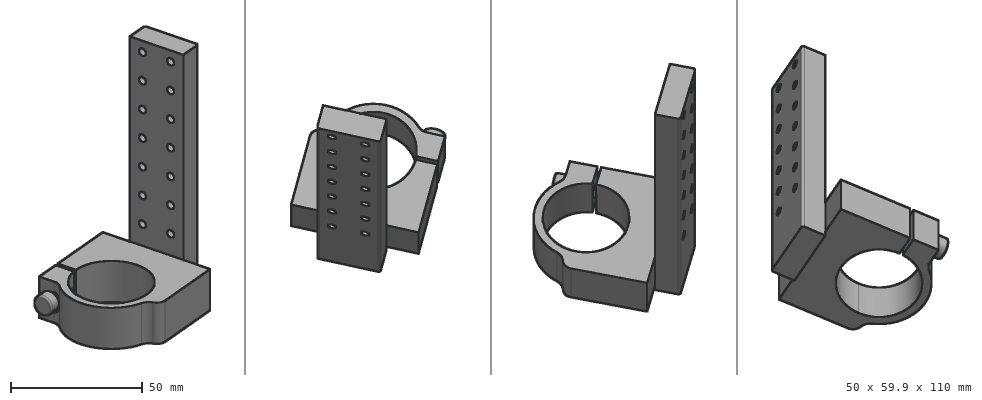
import cadquery as cq
import math


plate_width = 25.0
plate_thickness = 10.0
plate_height = 110.0
plate_edge_radius = 1.0
hole_diameter = 3.2
hole_rows = 7
hole_pitch = 12.5
hole_column_spacing = 13.1
top_hole_inset = 5.0

clamp_width = 50.0
clamp_height = 18.0
clamp_bottom = 2.3
bore_diameter = 33.0
ring_radius = 20.0
bore_y = -29.9
half_width = clamp_width / 2
gap_width = 1.4
lug_thickness = 10.9
lug_front_y = bore_y - gap_width - lug_thickness
lug_fillet = 5.0
shoulder_radius = 4.0
hollow_radius = 5.0

spotface_diameter = 9.9
head_diameter = 8.5
head_height = 5.0
head_edge_radius = 0.8
shank_diameter = 5.0
screw_inset = 5.1
screw_x = screw_inset - half_width
screw_z = clamp_bottom + clamp_height / 2


def point_between(start, end, distance):
    """Point at the given distance from start towards end."""
    ratio = distance / math.dist(start, end)
    return (start[0] + ratio * (end[0] - start[0]), start[1] + ratio * (end[1] - start[1]))


def make_plate():
    plate = (
        cq.Workplane("XY")
        .box(plate_width, plate_thickness, plate_height, centered=(True, False, False))
        .edges("|Z and >Y")
        .fillet(plate_edge_radius)
    )
    top_row_z = plate_height - top_hole_inset
    hole_points = [
        (side * hole_column_spacing / 2, top_row_z - row * hole_pitch)
        for row in range(hole_rows)
        for side in (-1, 1)
    ]
    holes = (
        cq.Workplane("XZ", origin=(0, plate_thickness, 0))
        .pushPoints(hole_points)
        .circle(hole_diameter / 2)
        .extrude(plate_thickness)
    )
    return plate.cut(holes)


def make_clamp():
    bore_center = (0, bore_y)

    shoulder_center = (half_width - shoulder_radius, bore_y)
    hollow_distance = ring_radius + hollow_radius
    hollow_angle = math.acos(
        (shoulder_center[0] ** 2 + hollow_distance**2 - (shoulder_radius + hollow_radius) ** 2)
        / (2 * shoulder_center[0] * hollow_distance)
    )
    hollow_center = (
        hollow_distance * math.cos(hollow_angle),
        bore_y - hollow_distance * math.sin(hollow_angle),
    )
    shoulder_start = (half_width, bore_y)
    shoulder_end = point_between(shoulder_center, hollow_center, shoulder_radius)
    ring_start = point_between(bore_center, hollow_center, ring_radius)

    fillet_y = lug_front_y - lug_fillet
    fillet_x = -math.sqrt((ring_radius + lug_fillet) ** 2 - (bore_y - fillet_y) ** 2)
    fillet_center = (fillet_x, fillet_y)
    ring_end = point_between(bore_center, fillet_center, ring_radius)
    fillet_end = (fillet_x, lug_front_y)
    fillet_chord_middle = ((ring_end[0] + fillet_end[0]) / 2, (ring_end[1] + fillet_end[1]) / 2)
    fillet_middle = point_between(fillet_center, fillet_chord_middle, lug_fillet)

    body = (
        cq.Workplane("XY", origin=(0, 0, clamp_bottom))
        .moveTo(-half_width, 0)
        .lineTo(half_width, 0)
        .lineTo(*shoulder_start)
        .tangentArcPoint(shoulder_end, relative=False)
        .tangentArcPoint(ring_start, relative=False)
        .threePointArc((0, bore_y - ring_radius), ring_end)
        .threePointArc(fillet_middle, fillet_end)
        .lineTo(-half_width, lug_front_y)
        .close()
        .extrude(clamp_height)
    )
    bore = (
        cq.Workplane("XY", origin=(0, bore_y, clamp_bottom))
        .circle(bore_diameter / 2)
        .extrude(clamp_height)
    )
    gap = cq.Workplane("XY", origin=(-half_width, bore_y - gap_width, clamp_bottom)).box(
        half_width, gap_width, clamp_height, centered=False
    )
    spotface = (
        cq.Workplane("XZ", origin=(screw_x, lug_front_y, screw_z))
        .circle(spotface_diameter / 2)
        .extrude(head_height)
    )
    return body.cut(bore).cut(gap).cut(spotface)


def make_screw():
    head = (
        cq.Workplane("XZ", origin=(screw_x, lug_front_y, screw_z))
        .circle(head_diameter / 2)
        .extrude(head_height)
        .faces("<Y")
        .edges()
        .fillet(head_edge_radius)
    )
    shank = (
        cq.Workplane("XZ", origin=(screw_x, bore_y, screw_z))
        .circle(shank_diameter / 2)
        .extrude(gap_width)
    )
    return head.union(shank)


result = make_plate().union(make_clamp()).union(make_screw())